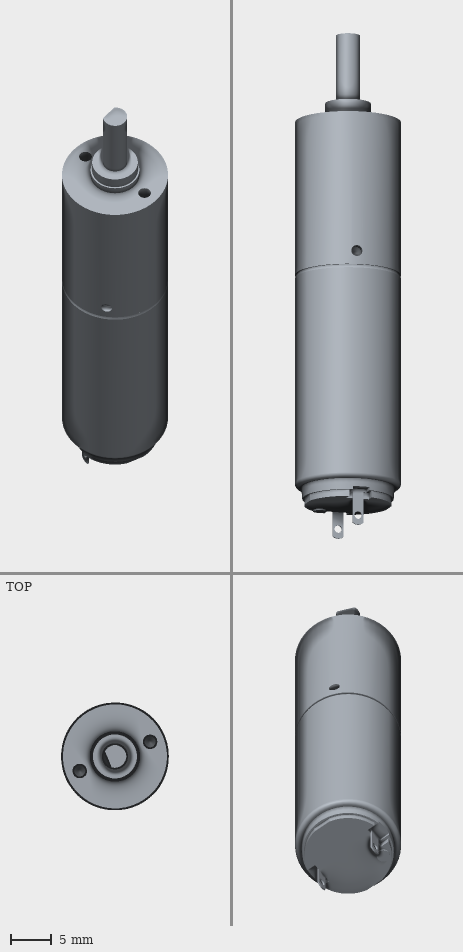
import cadquery as cq
import math

body_radius = 6.51

cap_bottom = 3.3
cap_step = 4.1
notch_top = 4.5
motor_bottom = 5.5
motor_top = 32.2
gearbox_top = 51.4
bush_step = 52.3
bush_top = 53.75
shaft_top = 62.3

gearhead_angle = 22.5

face_hole_diameter = 1.55
face_hole_circle_radius = 4.7
face_hole_depth = 3.1
side_hole_diameter = 1.4
side_hole_depth = 0.95
side_hole_height = 33.9
side_hole_count = 3
drill_tip_angle = 118.0

bush_flange_radius = 3.0
bush_radius = 2.8

shaft_radius = 1.5
flat_distance = 1.0
flat_bottom = 55.75
flat_runout = 0.9

motor_top_chamfer_height = 0.45
motor_top_chamfer_width = 0.2
motor_bottom_fillet = 0.5

cap_top_radius = 5.7
cap_step_radius = 5.6
rim_radius = 5.35
rim_flat_distance = 5.25
upper_notch_width = 2.1
lower_notch_width = 2.85
lower_notch_extra_depth = 0.2
dot_radius = 0.8
dot_height = 0.2
dot_x = 2.55
dot_y = -3.5

terminal_offset = 4.1
terminal_width = 1.4
terminal_thickness = 0.2
terminal_tip_rise = 0.25
terminal_hole_diameter = 0.95
terminal_hole_height = 1.2
terminal_outer_face = terminal_offset + terminal_thickness / 2


def cylinder(radius, bottom, top):
    return cq.Workplane("XY").workplane(offset=bottom).circle(radius).extrude(top - bottom)


def box_between(x_range, y_range, z_range):
    size = [high - low for low, high in (x_range, y_range, z_range)]
    corner = (x_range[0], y_range[0], z_range[0])
    return cq.Workplane("XY").box(*size, centered=False).translate(corner)


def about_z(shape, angle):
    return shape.rotate((0, 0, 0), (0, 0, 1), angle)


def drill(diameter, depth):
    """A blind drilled hole going down from the origin, with a conical tip below its full depth."""
    radius = diameter / 2
    tip_length = radius / math.tan(math.radians(drill_tip_angle / 2))
    profile = [(0, 0), (radius, 0), (radius, -depth), (0, -depth - tip_length)]
    return cq.Workplane("XZ").polyline(profile).close().revolve(360, (0, 0), (0, 1))


def make_gearbox():
    gearbox = cylinder(body_radius, motor_top, gearbox_top)

    face_hole = drill(face_hole_diameter, face_hole_depth)
    face_hole = face_hole.translate((face_hole_circle_radius, 0, gearbox_top))
    for angle in (gearhead_angle, gearhead_angle + 180):
        gearbox = gearbox.cut(about_z(face_hole, angle))

    side_hole = drill(side_hole_diameter, side_hole_depth).rotate((0, 0, 0), (0, 1, 0), 90)
    side_hole = side_hole.translate((body_radius, 0, side_hole_height))
    for index in range(side_hole_count):
        angle = gearhead_angle + 180 + index * 360 / side_hole_count
        gearbox = gearbox.cut(about_z(side_hole, angle))
    return gearbox


def make_bush():
    flange = cylinder(bush_flange_radius, gearbox_top, bush_step)
    sleeve = cylinder(bush_radius, bush_step, bush_top)
    bore = cylinder(shaft_radius, gearbox_top, bush_top)
    return flange.union(sleeve).cut(bore)


def make_shaft():
    shaft = cylinder(shaft_radius, gearbox_top, shaft_top)
    segment = (
        cq.Workplane("XZ")
        .moveTo(-flat_distance, shaft_top)
        .lineTo(-flat_distance, flat_bottom)
        .lineTo(-shaft_radius, flat_bottom - flat_runout)
        .lineTo(-shaft_radius, shaft_top)
        .close()
        .extrude(shaft_radius, both=True)
    )
    return shaft.cut(about_z(segment, gearhead_angle))


def make_motor():
    motor = cylinder(body_radius, motor_bottom, motor_top)
    motor = motor.faces(">Z").chamfer(motor_top_chamfer_height, motor_top_chamfer_width)
    return motor.faces("<Z").edges().fillet(motor_bottom_fillet)


def make_end_cap():
    profile = [
        (0, cap_bottom),
        (rim_radius, cap_bottom),
        (rim_radius, cap_step),
        (cap_step_radius, cap_step),
        (cap_top_radius, motor_bottom),
        (0, motor_bottom),
    ]
    cap = cq.Workplane("XZ").polyline(profile).close().revolve(360, (0, 0), (0, 1))

    rim_flat = box_between(
        (rim_flat_distance, rim_radius), (-rim_radius, rim_radius), (cap_bottom, cap_step)
    )
    terminal_pocket = box_between(
        (-terminal_width / 2, terminal_width / 2),
        (-terminal_outer_face, -terminal_outer_face + terminal_thickness),
        (cap_bottom, notch_top),
    )
    upper_notch = box_between(
        (-upper_notch_width / 2, upper_notch_width / 2),
        (-cap_top_radius, -terminal_outer_face),
        (cap_bottom, notch_top),
    )
    lower_notch = box_between(
        (-lower_notch_width / 2, lower_notch_width / 2),
        (-cap_top_radius, -terminal_outer_face + lower_notch_extra_depth),
        (cap_bottom, cap_step),
    )
    for angle in (0, 180):
        for cutter in (rim_flat, terminal_pocket, upper_notch, lower_notch):
            cap = cap.cut(about_z(cutter, angle))

    polarity_dot = cylinder(dot_radius, cap_bottom - dot_height, cap_bottom)
    return cap.union(polarity_dot.translate((dot_x, dot_y, 0)))


def make_terminal(side):
    """A flat solder tag with a rounded tip and a wire hole; side is -1 or 1 along Y."""
    half_width = terminal_width / 2
    tag = (
        cq.Workplane("XZ")
        .moveTo(-half_width, notch_top)
        .lineTo(-half_width, terminal_tip_rise)
        .threePointArc((0, 0), (half_width, terminal_tip_rise))
        .lineTo(half_width, notch_top)
        .close()
        .moveTo(0, terminal_hole_height)
        .circle(terminal_hole_diameter / 2)
        .extrude(terminal_thickness / 2, both=True)
    )
    return tag.translate((0, side * terminal_offset, 0))


gearbox = make_gearbox()
bush = make_bush()
shaft = make_shaft()
motor = make_motor()
end_cap = make_end_cap()
terminals = [make_terminal(side) for side in (-1, 1)]

result = cq.Compound.makeCompound(
    [
        gearbox.val(),
        bush.val(),
        shaft.val(),
        motor.val(),
        end_cap.val(),
        *[terminal.val() for terminal in terminals],
    ]
)